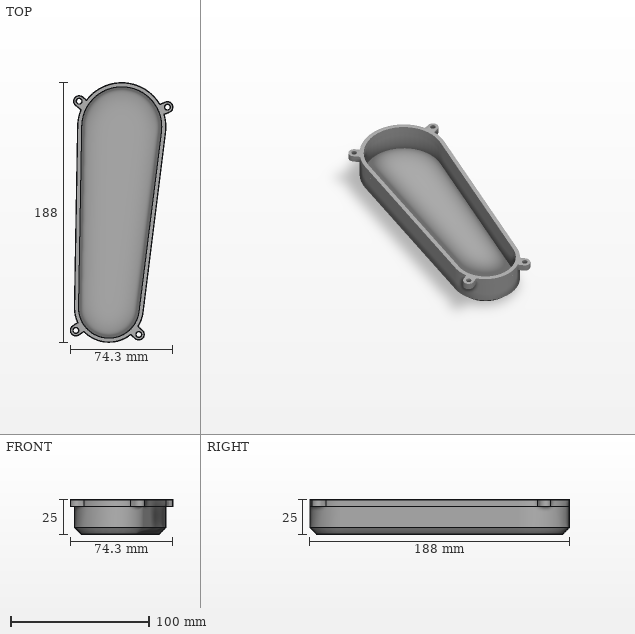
import cadquery as cq
import math

large_radius = 32.0
small_radius = 25.0
center_offset_x = 9.3
center_offset_y = 131.0
small_center = (0.0, 0.0)
large_center = (center_offset_x, center_offset_y)
center_distance = math.hypot(center_offset_x, center_offset_y)
axis_angle = math.degrees(math.atan2(center_offset_y, center_offset_x))
tangent_angle = math.degrees(math.acos((small_radius - large_radius) / center_distance))

total_height = 25.0
rim_height = 5.0
tub_height = total_height - rim_height
floor_thickness = 5.0
wall_thickness = 3.0
bottom_chamfer = 5.0

lug_radius = 4.0
lug_hole_diameter = 4.0
lugs = [
    (large_center, large_radius, 149.0, -8.0),
    (large_center, large_radius, 23.3, 0.0),
    (small_center, small_radius, 214.4, 0.0),
    (small_center, small_radius, 318.2, 0.0),
]


def polar(center, radius, angle):
    """Point at a radius and an angle (degrees, measured from +X) around a center."""
    a = math.radians(angle)
    return (center[0] + radius * math.cos(a), center[1] + radius * math.sin(a))


def tapered_prism(base_z, height, inset=0.0):
    """Prism on the tapered outline, shrunk inward by the inset."""
    large = large_radius - inset
    small = small_radius - inset
    left = axis_angle + tangent_angle
    right = axis_angle - tangent_angle
    return (
        cq.Workplane("XY", origin=(0, 0, base_z))
        .moveTo(*polar(large_center, large, right))
        .threePointArc(polar(large_center, large, axis_angle), polar(large_center, large, left))
        .lineTo(*polar(small_center, small, left))
        .threePointArc(polar(small_center, small, axis_angle + 180.0), polar(small_center, small, right))
        .close()
        .extrude(height)
    )


def make_tub():
    """Lower tub: chamfered underneath and hollowed down to the floor."""
    body = tapered_prism(0.0, tub_height).faces("<Z").chamfer(bottom_chamfer)
    cavity = tapered_prism(floor_thickness, tub_height - floor_thickness, wall_thickness)
    return body.cut(cavity)


def make_lug(screw_point, arm_length, arm_angle):
    """Round tip around the screw, with a straight arm running back into the rim."""
    arm = (
        cq.Workplane("XY")
        .center(-arm_length / 2, 0)
        .rect(arm_length, 2 * lug_radius)
        .extrude(rim_height)
    )
    tip = cq.Workplane("XY").circle(lug_radius).extrude(rim_height)
    return (
        arm.union(tip)
        .rotate((0, 0, 0), (0, 0, 1), arm_angle)
        .translate((screw_point[0], screw_point[1], tub_height))
    )


def make_rim():
    """Upper rim: a ring on the tub wall with four drilled lugs around it."""
    rim = tapered_prism(tub_height, rim_height)
    screw_points = []
    for center, end_radius, screw_angle, arm_swing in lugs:
        reach = end_radius + lug_radius
        screw_point = polar(center, reach, screw_angle)
        rim = rim.union(make_lug(screw_point, reach, screw_angle + arm_swing))
        screw_points.append(screw_point)
    opening = tapered_prism(tub_height, rim_height, wall_thickness)
    screw_holes = (
        cq.Workplane("XY", origin=(0, 0, tub_height))
        .pushPoints(screw_points)
        .circle(lug_hole_diameter / 2)
        .extrude(rim_height)
    )
    return rim.cut(opening).cut(screw_holes)


tub = make_tub()
rim = make_rim()

result = cq.Compound.makeCompound([tub.val(), rim.val()])